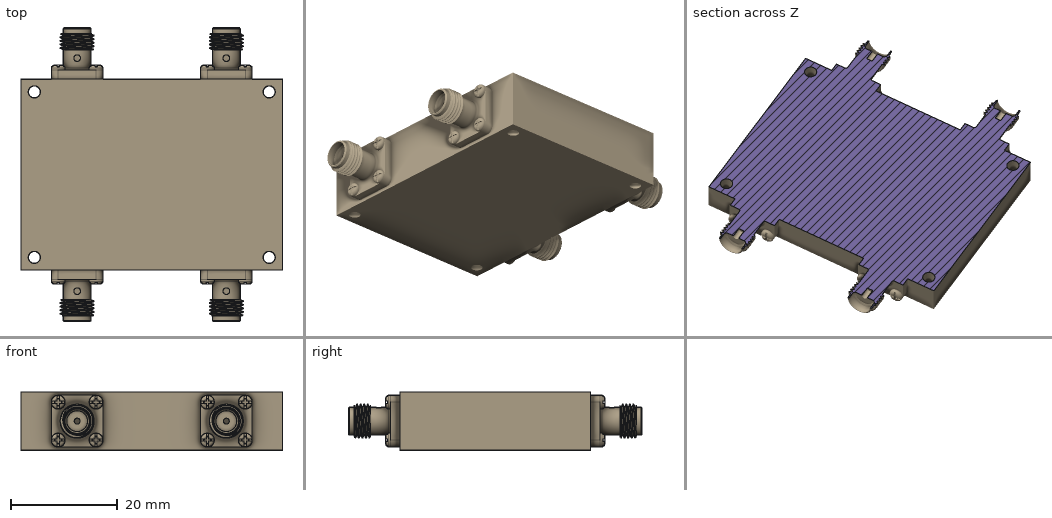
import cadquery as cq
import math

housing_length = 49.0
housing_width = 35.75
housing_height = 11.0
mounting_hole_diameter = 2.2
mounting_hole_spacing_x = 44.0
mounting_hole_spacing_y = 31.0

connector_spacing = 27.95
width_over_connectors = 55.05
connector_reach = (width_over_connectors - housing_width) / 2

flange_side = 9.7
flange_thickness = 1.75
screw_spacing = 7.1
flange_corner_radius = (flange_side - screw_spacing) / 2
screw_head_radius = flange_corner_radius
screw_head_height = 0.9
screw_rim_height = 0.35
screw_crown_radius = 0.6
cross_slot_length = 2 * screw_head_radius
cross_slot_width = 0.4
cross_slot_depth = 0.3

barrel_radius = 2.625
barrel_base_fillet = 0.35
barrel_tip_chamfer = 0.2
bore_radius = 2.3
bore_floor_radius = 1.95
bore_depth = 1.9
bore_taper_depth = bore_radius - bore_floor_radius
contact_hole_radius = 0.55
contact_hole_depth = 2.0
vent_radius = 0.625
vent_position = 3.95
vent_depth = 0.15

thread_radius = 3.175
thread_start = 5.5
thread_end = 8.6
thread_pitch = 0.67
thread_end_chamfer = 0.3
thread_root_overlap = 0.1
thread_crest_clearance = 0.05
ridge_base_width = 0.95 * thread_pitch
ridge_crest_width = 0.15 * thread_pitch


def make_housing():
    """Block centred on the origin with a through hole near each corner."""
    return (
        cq.Workplane("XY")
        .box(housing_length, housing_width, housing_height)
        .faces(">Z")
        .workplane()
        .rect(
            mounting_hole_spacing_x,
            mounting_hole_spacing_y,
            forConstruction=True,
        )
        .vertices()
        .hole(mounting_hole_diameter)
    )


def make_flange():
    return (
        cq.Workplane("XY")
        .rect(flange_side, flange_side)
        .extrude(flange_thickness)
        .edges("|Z")
        .fillet(flange_corner_radius)
    )


def make_screw_head():
    """Pan head with a domed top and a cross recess, standing on its own base plane."""
    dome_height = screw_head_height - screw_rim_height
    dome_width = screw_head_radius - screw_crown_radius
    dome_mid_radius = screw_crown_radius + dome_width * math.sin(math.pi / 4)
    dome_mid_height = screw_rim_height + dome_height * math.sin(math.pi / 4)
    head = (
        cq.Workplane("XZ")
        .lineTo(screw_head_radius, 0)
        .lineTo(screw_head_radius, screw_rim_height)
        .threePointArc((dome_mid_radius, dome_mid_height), (screw_crown_radius, screw_head_height))
        .lineTo(0, screw_head_height)
        .close()
        .revolve(360, (0, 0, 0), (0, 1, 0))
    )
    slot_floor = cq.Workplane("XY").workplane(offset=screw_head_height - cross_slot_depth)
    for length, width in (
        (cross_slot_length, cross_slot_width),
        (cross_slot_width, cross_slot_length),
    ):
        head = head.cut(slot_floor.rect(length, width).extrude(cross_slot_depth))
    return head


def make_barrel():
    """Plain round barrel rising from the flange, flared at its base and chamfered at its tip."""
    flare_radius = barrel_radius + barrel_base_fillet
    flare_top = flange_thickness + barrel_base_fillet
    arc_offset = barrel_base_fillet * (1 - math.sin(math.pi / 4))
    return (
        cq.Workplane("XZ")
        .lineTo(flare_radius, 0)
        .lineTo(flare_radius, flange_thickness)
        .threePointArc(
            (barrel_radius + arc_offset, flange_thickness + arc_offset),
            (barrel_radius, flare_top),
        )
        .lineTo(barrel_radius, connector_reach - barrel_tip_chamfer)
        .lineTo(barrel_radius - barrel_tip_chamfer, connector_reach)
        .lineTo(0, connector_reach)
        .close()
        .revolve(360, (0, 0, 0), (0, 1, 0))
    )


def make_thread():
    """Helical ridge with its ends trimmed by a chamfered cylinder slightly wider than the crest."""
    root_radius = barrel_radius - thread_root_overlap
    helix_start = thread_start - thread_pitch / 2
    helix_height = thread_end - thread_start + thread_pitch
    helix = cq.Wire.makeHelix(thread_pitch, helix_height, root_radius)
    ridge = (
        cq.Workplane("XZ")
        .moveTo(root_radius, -ridge_base_width / 2)
        .lineTo(thread_radius, -ridge_crest_width / 2)
        .lineTo(thread_radius, ridge_crest_width / 2)
        .lineTo(root_radius, ridge_base_width / 2)
        .close()
        .sweep(cq.Workplane(obj=helix), isFrenet=True)
        .translate((0, 0, helix_start))
    )
    envelope = (
        cq.Workplane("XY")
        .workplane(offset=thread_start)
        .circle(thread_radius + thread_crest_clearance)
        .extrude(thread_end - thread_start)
        .edges()
        .chamfer(thread_end_chamfer)
    )
    return envelope.intersect(ridge)


def make_bore():
    """Socket opening at the tip: straight bore, tapered bottom and a central contact hole."""
    floor = connector_reach - bore_depth
    contact_floor = floor - contact_hole_depth
    return (
        cq.Workplane("XZ")
        .moveTo(0, contact_floor)
        .lineTo(contact_hole_radius, contact_floor)
        .lineTo(contact_hole_radius, floor)
        .lineTo(bore_floor_radius, floor)
        .lineTo(bore_radius, floor + bore_taper_depth)
        .lineTo(bore_radius, connector_reach)
        .lineTo(0, connector_reach)
        .close()
        .revolve(360, (0, 0, 0), (0, 1, 0))
    )


def make_vent():
    """Shallow round recess in the upper side of the barrel."""
    vent_floor = barrel_radius - vent_depth
    return (
        cq.Workplane("XZ", origin=(0, vent_floor, vent_position))
        .circle(vent_radius)
        .extrude(-2 * vent_depth)
    )


def make_connector():
    """Complete connector along +Z, seated on the XY plane with +Y as its upper side."""
    connector = make_flange().union(make_barrel())
    connector = connector.union(make_thread())
    connector = connector.cut(make_bore()).cut(make_vent())
    screw_head = make_screw_head()
    for x_side in (-1, 1):
        for y_side in (-1, 1):
            position = (x_side * screw_spacing / 2, y_side * screw_spacing / 2, flange_thickness)
            connector = connector.union(screw_head.translate(position))
    return connector


def make_part():
    part = make_housing()
    front_connector = (
        make_connector()
        .rotate((0, 0, 0), (1, 0, 0), 90)
        .translate((0, -housing_width / 2, 0))
    )
    for face_angle in (0, 180):
        connector = front_connector.rotate((0, 0, 0), (0, 0, 1), face_angle)
        for side in (-1, 1):
            part = part.union(connector.translate((side * connector_spacing / 2, 0, 0)))
    return part


result = make_part()